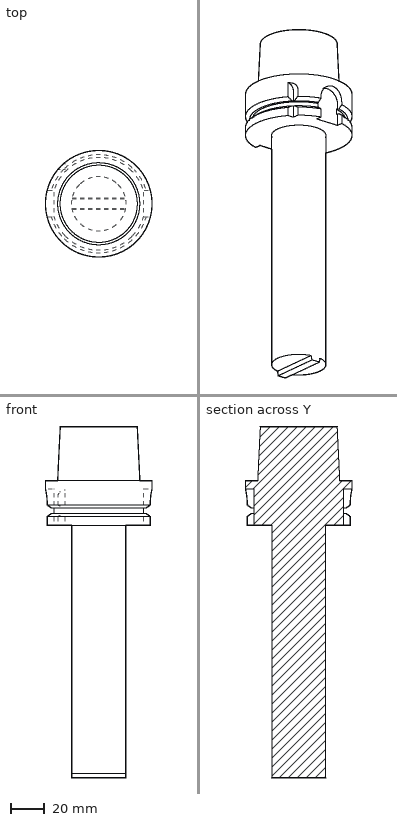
import cadquery as cq

total_height = 207
tenon_height = 2.7
collar_bottom = 148.8
groove_bottom = 154.0
groove_top = 160.8
groove_chamfer_height = 1.9
groove_chamfer_depth = 2.5
collar_top = 175.1
taper_bottom = 177.0

shaft_diameter = 32.0
collar_diameter = 63.0
neck_diameter = 54.9
taper_large_diameter = 48.5
taper_small_diameter = 45.5

tenon_root_width = 6.8
tenon_tip_width = 5.5

drive_slot_width = 15.7
drive_slot_peak = 170.2
drive_slot_floor = 26.5
notch_width = 8.3
notch_peak = 169.7
notch_floor = 19.9
notch_offset = 24.5


def turned_body():
    """Shaft, grooved collar and tapered shank as one revolved profile."""
    shaft_radius = shaft_diameter / 2
    collar_radius = collar_diameter / 2
    neck_radius = neck_diameter / 2
    ledge_radius = collar_radius - groove_chamfer_depth
    lower_ledge = groove_bottom + groove_chamfer_height
    upper_ledge = groove_top - groove_chamfer_height
    taper_large_radius = taper_large_diameter / 2
    profile = [
        (0, tenon_height),
        (shaft_radius, tenon_height),
        (shaft_radius, collar_bottom),
        (collar_radius, collar_bottom),
        (collar_radius, groove_bottom),
        (ledge_radius, lower_ledge),
        (neck_radius, lower_ledge),
        (neck_radius, upper_ledge),
        (ledge_radius, upper_ledge),
        (collar_radius, groove_top),
        (collar_radius, collar_top),
        (taper_large_radius, collar_top),
        (taper_large_radius, taper_bottom),
        (taper_small_diameter / 2, total_height),
        (0, total_height),
    ]
    return cq.Workplane("XZ").polyline(profile).close().revolve(360, (0, 0), (0, 1))


def end_tenon():
    """Tapered key along X, trimmed to the round of the shaft."""
    section = [
        (-tenon_tip_width / 2, 0),
        (tenon_tip_width / 2, 0),
        (tenon_root_width / 2, tenon_height),
        (-tenon_root_width / 2, tenon_height),
    ]
    key = cq.Workplane("YZ").polyline(section).close().extrude(shaft_diameter / 2, both=True)
    shaft_end = cq.Workplane("XY").circle(shaft_diameter / 2).extrude(tenon_height)
    return key.intersect(shaft_end)


def slot_cutter(width, peak, floor, offset=0):
    """Round-topped slot on the +X side, open outward and through the collar bottom."""
    radius = width / 2
    shoulder = peak - radius
    return (
        cq.Workplane("YZ", origin=(floor, 0, 0))
        .moveTo(offset - radius, collar_bottom)
        .lineTo(offset - radius, shoulder)
        .threePointArc((offset, peak), (offset + radius, shoulder))
        .lineTo(offset + radius, collar_bottom)
        .close()
        .extrude(collar_diameter / 2 - floor)
    )


drive_slot = slot_cutter(drive_slot_width, drive_slot_peak, drive_slot_floor)
notch = slot_cutter(notch_width, notch_peak, notch_floor, notch_offset).mirror("YZ")

result = (
    turned_body()
    .union(end_tenon())
    .cut(drive_slot)
    .cut(drive_slot.mirror("YZ"))
    .cut(notch)
)